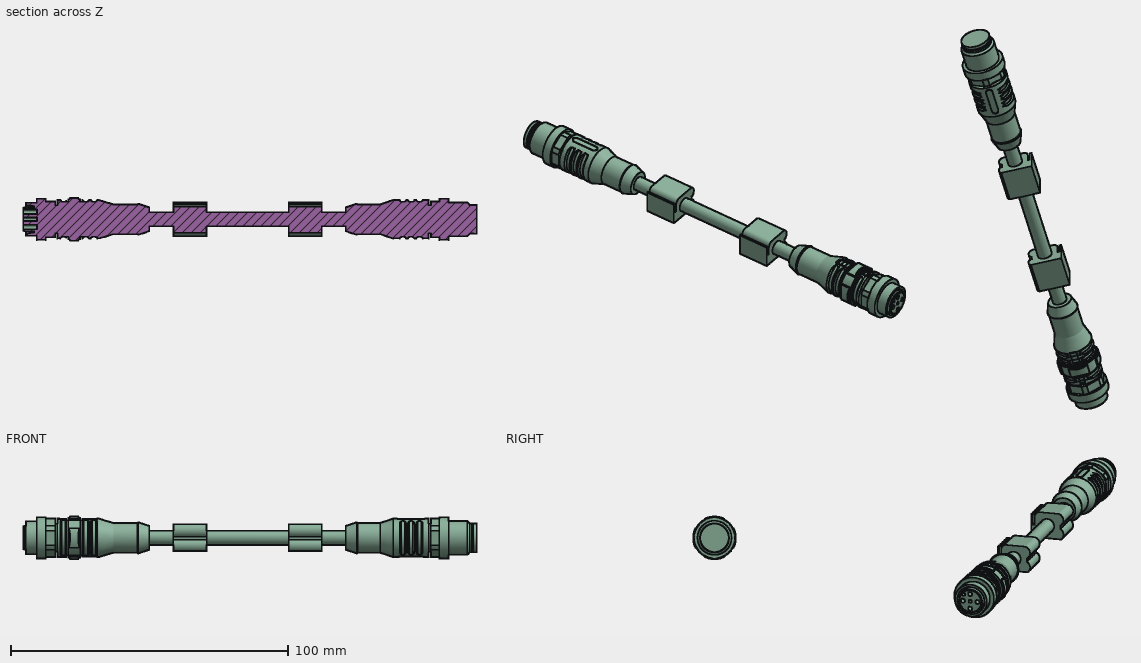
import cadquery as cq
import math

total_length = 163.6
total_height = 15.46
cable_diameter = 5.2
overlap = 0.5

collar_diameter = 15.0
nut_diameter = 14.0
nut_across_flats = 13.0
neck_diameter = 10.2
grip_diameter = 14.0
grip_radius = grip_diameter / 2
sleeve_diameter = 10.8
bead_diameter = 11.3
tail_diameter = 8.7
bead_rise = 0.4

groove_mouth = 2.4
groove_floor_width = 1.3
groove_pitch = 3.0
groove_floor_diameter = 12.8
label_depth = 0.3
label_width = 2.4

insert_diameter = 8.7
insert_tip_diameter = 8.3
insert_tip_length = 0.5
shell_start = 1.0
shell_diameter = 12.0
shell_bore_diameter = 10.2
shell_bore_floor_diameter = 9.3
shell_bore_depth = 3.0
female_collar_start = 4.9
female_collar_end = 8.2
female_nut_end = 11.6
female_grip_start = 12.4
female_grip_end = 27.3
female_taper_end = 32.6
female_bead = 41.6
female_end = 45.5
female_groove_half_height = 6.7
front_groove = 14.6
first_rear_groove = 22.6
rear_grooves = [first_rear_groove, first_rear_groove + groove_pitch]
front_label_start = 13.1
front_label_end = 16.1
front_label_width = 1.8
rear_label_start = 21.0
rear_label_end = 26.8

socket_diameter = 1.5
socket_circle_diameter = 5.5
center_socket_diameter = 1.15
socket_depth = 5.0
socket_count = 4
key_hole_diameter = 1.15
key_hole_radius = 3.45
key_hole_angle = 45

band_start = 16.2
band_end = 20.6
band_diameter = 14.5
band_trench = 0.7
pad_height = total_height / 2
pad_top_length = 2.8
pad_width = 7.0

male_start = 116.3
male_bead = 120.2
male_taper_start = 128.7
male_grip_start = 133.4
male_grip_end = 146.2
male_nut_start = 147.0
male_collar_start = 150.1
male_collar_end = 153.4
male_shell_end = 161.0
male_shell_diameter = 12.3
male_shell_chamfer = 0.8
male_tip_diameter = 10.5
lip_groove_start = 161.8
lip_groove_width = 0.5
lip_groove_diameter = 10.2
male_groove_half_height = 6.1
male_groove_center = 139.9
male_label_length = 10.6

clip_starts = [54.2, 95.7]
clip_length = 12.0
clip_half_width = 6.1
clip_top = 4.9
clip_bottom = -4.75
top_flat_front = -4.2
top_flat_back = 2.7
notch_y = -4.9
notch_top = 0.4
notch_bottom = -0.75
shoulder_mid_z = 2.9
foot_mid_z = -2.4
foot_inner = -5.2
latch_gap_inner = 4.7
latch_gap_outer = 5.4
latch_gap_floor = 0.0
latch_shoulder_z = 3.2
latch_top = 3.8


def rod(start, end, diameter):
    """Cylinder on the X axis between two stations."""
    return cq.Workplane("YZ", origin=(start, 0, 0)).circle(diameter / 2).extrude(end - start)


def ring(start, end, outer_diameter, inner_diameter):
    """Tube on the X axis between two stations."""
    return rod(start, end, outer_diameter).cut(rod(start, end, inner_diameter))


def turned(stations):
    """Solid of revolution about X from (x, diameter) stations."""
    outline = [(stations[0][0], 0)]
    outline += [(x, diameter / 2) for x, diameter in stations]
    outline += [(stations[-1][0], 0)]
    return cq.Workplane("XY").polyline(outline).close().revolve(360, (0, 0, 0), (1, 0, 0))


def coupling_nut(start, end):
    """Hexagon with rounded corners and two flats facing +Y and -Y."""
    corner_diameter = nut_across_flats / math.cos(math.pi / 6)
    hexagon = (
        cq.Workplane("YZ", origin=(start, 0, 0))
        .transformed(rotate=(0, 0, 90))
        .polygon(6, corner_diameter)
        .extrude(end - start)
    )
    return hexagon.intersect(rod(start, end, nut_diameter))


def finger_groove(center, half_height):
    """Round-ended groove with sloped walls wrapped around the +Y and -Y sides of a grip."""
    floor_radius = groove_floor_diameter / 2
    wall_slope = (groove_mouth - groove_floor_width) / 2 / (grip_radius - floor_radius)
    outer_radius = grip_radius + overlap
    outer_half = groove_mouth / 2 + overlap * wall_slope
    floor_half = groove_floor_width / 2
    channel = (
        cq.Workplane("XY")
        .polyline(
            [
                (center - floor_half, floor_radius),
                (center - outer_half, outer_radius),
                (center + outer_half, outer_radius),
                (center + floor_half, floor_radius),
            ]
        )
        .close()
        .revolve(360, (0, 0, 0), (1, 0, 0))
    )
    slot = (
        cq.Workplane("XZ", origin=(center, 0, 0))
        .slot2D(2 * half_height, groove_mouth, 90)
        .extrude(grip_diameter, both=True)
    )
    return channel.intersect(slot)


def label_cutter(start, end, width, rounded):
    """Two shallow flat-floored recesses on the +Z and -Z sides of a grip."""
    center = (start + end) / 2
    cutter = cq.Workplane("XY", origin=(center, 0, 0))
    if rounded:
        cutter = cutter.slot2D(end - start, width)
    else:
        cutter = cutter.rect(end - start, width)
    cutter = cutter.extrude(grip_diameter, both=True)
    floor = 2 * (grip_radius - label_depth)
    core = cq.Workplane("XY", origin=(center, 0, 0)).box(2 * (end - start), grip_diameter, floor)
    return cutter.cut(core)


def pad(angle):
    """Flat pad on the band, bevelled at both X ends, turned about X."""
    base = groove_floor_diameter / 2
    bevel = (band_end - band_start - pad_top_length) / 2
    block = (
        cq.Workplane("XZ")
        .polyline(
            [
                (band_start, 0),
                (band_start, base),
                (band_start + bevel, pad_height),
                (band_end - bevel, pad_height),
                (band_end, base),
                (band_end, 0),
            ]
        )
        .close()
        .extrude(pad_width / 2, both=True)
    )
    return block.rotate((0, 0, 0), (1, 0, 0), angle)


def raised_band():
    """Band around the female grip with a pad on each of its four sides."""
    band = rod(band_start, band_end, band_diameter)
    for quarter in range(4):
        band = band.union(pad(90 * quarter))
    return band.intersect(rod(band_start, band_end, 2 * pad_height))


def contact_cutter():
    """Four sockets, the center socket and the key hole in the face of the insert."""
    face = cq.Workplane("YZ", origin=(-overlap, 0, 0))
    depth = socket_depth + overlap
    socket_circle = face.polarArray(socket_circle_diameter / 2, 0, 360, socket_count)
    sockets = socket_circle.circle(socket_diameter / 2).extrude(depth)
    center_socket = face.circle(center_socket_diameter / 2).extrude(depth)
    key_place = face.polarArray(key_hole_radius, key_hole_angle, 360, 1)
    key_hole = key_place.circle(key_hole_diameter / 2).extrude(depth)
    return sockets.union(center_socket).union(key_hole)


def female_connector():
    """Grip, sleeve, coupling nut, shell and contact insert at X = 0."""
    body = turned(
        [
            (female_collar_end, neck_diameter),
            (female_grip_start, neck_diameter),
            (female_grip_start, grip_diameter),
            (female_grip_end, grip_diameter),
            (female_taper_end, sleeve_diameter),
            (female_bead - bead_rise, sleeve_diameter),
            (female_bead, bead_diameter),
            (female_end, tail_diameter),
        ]
    )
    for center in [front_groove] + rear_grooves:
        body = body.cut(finger_groove(center, female_groove_half_height))
    body = body.cut(label_cutter(front_label_start, front_label_end, front_label_width, False))
    body = body.cut(label_cutter(rear_label_start, rear_label_end, label_width, False))
    for edge in (band_start - band_trench, band_end):
        body = body.cut(ring(edge, edge + band_trench, collar_diameter, groove_floor_diameter))
    body = body.union(raised_band())

    shell = rod(shell_start, female_collar_end, shell_diameter)
    shell = shell.union(rod(female_collar_start, female_collar_end, collar_diameter))
    bore_end = shell_start + shell_bore_depth
    shell = shell.cut(
        turned([(shell_start, shell_bore_diameter), (bore_end, shell_bore_floor_diameter)])
    )
    insert = rod(0, insert_tip_length, insert_tip_diameter)
    insert = insert.union(rod(insert_tip_length, female_collar_start, insert_diameter))
    nut = coupling_nut(female_collar_end, female_nut_end)
    return body.union(shell).union(insert).union(nut).cut(contact_cutter())


def male_connector():
    """Grip, sleeve, coupling nut and stepped shell at the far X end."""
    body = turned(
        [
            (male_start, tail_diameter),
            (male_bead, bead_diameter),
            (male_bead + bead_rise, sleeve_diameter),
            (male_taper_start, sleeve_diameter),
            (male_grip_start, grip_diameter),
            (male_grip_end, grip_diameter),
            (male_grip_end, neck_diameter),
            (male_collar_start, neck_diameter),
            (male_collar_start, collar_diameter),
            (male_collar_end, collar_diameter),
            (male_collar_end, male_shell_diameter),
            (male_shell_end - male_shell_chamfer, male_shell_diameter),
            (male_shell_end, male_tip_diameter),
            (lip_groove_start, male_tip_diameter),
            (lip_groove_start, lip_groove_diameter),
            (lip_groove_start + lip_groove_width, lip_groove_diameter),
            (lip_groove_start + lip_groove_width, male_tip_diameter),
            (total_length, male_tip_diameter),
        ]
    )
    for step in (-1, 0, 1):
        center = male_groove_center + step * groove_pitch
        body = body.cut(finger_groove(center, male_groove_half_height))
    label_start = male_groove_center - male_label_length / 2
    body = body.cut(label_cutter(label_start, label_start + male_label_length, label_width, True))
    return body.union(coupling_nut(male_nut_start, male_collar_start))


def clip(start):
    """Cable clip: flat top, notched front side and an upright latch wall on the back."""
    back_run = latch_gap_inner - top_flat_back
    back_drop = clip_top - latch_shoulder_z
    back_mid = (
        top_flat_back + back_run * math.sin(math.pi / 4),
        latch_shoulder_z + back_drop * math.cos(math.pi / 4),
    )
    return (
        cq.Workplane("YZ", origin=(start, 0, 0))
        .moveTo(top_flat_back, clip_top)
        .lineTo(top_flat_front, clip_top)
        .threePointArc((-clip_half_width, shoulder_mid_z), (notch_y, notch_top))
        .lineTo(notch_y, notch_bottom)
        .threePointArc((-clip_half_width, foot_mid_z), (foot_inner, clip_bottom))
        .lineTo(clip_half_width, clip_bottom)
        .lineTo(clip_half_width, latch_top)
        .lineTo(latch_gap_outer, latch_top)
        .lineTo(latch_gap_outer, latch_gap_floor)
        .lineTo(latch_gap_inner, latch_gap_floor)
        .lineTo(latch_gap_inner, latch_shoulder_z)
        .threePointArc(back_mid, (top_flat_back, clip_top))
        .close()
        .extrude(clip_length)
    )


result = rod(female_end - overlap, male_start + overlap, cable_diameter)
result = result.union(female_connector()).union(male_connector())
for clip_start in clip_starts:
    result = result.union(clip(clip_start))